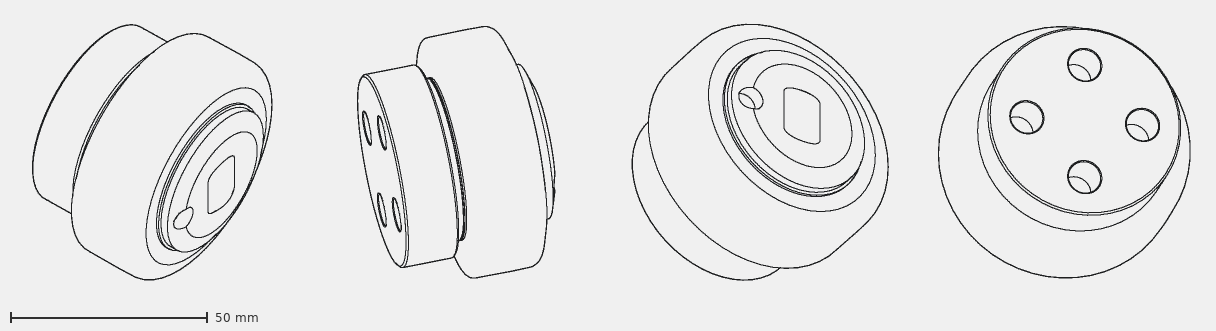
import cadquery as cq
import math

flange_radius = 25.0
flange_thickness = 13.8
flange_chamfer = 0.5

neck_radius = 21.05
neck_end = 16.0
groove_radius = 20.75
groove_width = 0.4

roller_radius = 31.25
tread_sag = 0.095
roller_start = 16.8
roller_width = 20.0
roller_edge_fillet = 1.5
crown_radius = 3.0
crown_start = 32.5
bevel_angle = math.radians(20)

collar_radius = 20.75
collar_width = 0.7
cap_groove_radius = 19.0
cap_groove_width = 0.2
cap_radius = 20.0
cap_bevel_start = 39.75
cap_face = 41.6
cap_face_radius = 15.0

total_length = 43.05
side_roller_radius = 11.0
side_roller_width = 16.0
side_roller_fillet = 2.5

hole_count = 4
hole_circle_radius = 15.0
hole_diameter = 8.4
hole_depth = 12.5
hole_chamfer = 0.25
drill_tip_angle = math.radians(118)

cap_hole_diameter = 6.5
cap_hole_depth = 3.75


def make_turned_body():
    """Revolve the stepped half outline about the X axis."""
    roller_end = roller_start + roller_width
    collar_end = roller_end + collar_width
    cap_start = collar_end + cap_groove_width
    tread_edge_radius = roller_radius - tread_sag
    tread_start = roller_start + roller_edge_fillet
    tread_middle = (tread_start + crown_start) / 2
    crown_center_r = tread_edge_radius - crown_radius
    half_sweep = (math.pi / 2 - bevel_angle) / 2
    crown_mid = (
        crown_start + crown_radius * math.sin(half_sweep),
        crown_center_r + crown_radius * math.cos(half_sweep),
    )
    crown_end = (
        crown_start + crown_radius * math.cos(bevel_angle),
        crown_center_r + crown_radius * math.sin(bevel_angle),
    )
    bevel_end_radius = crown_end[1] - (roller_end - crown_end[0]) / math.tan(bevel_angle)
    groove_end = neck_end + groove_width
    fillet_offset = roller_edge_fillet * (1 - math.sqrt(0.5))

    outline = (
        cq.Workplane("XY")
        .moveTo(0, 0)
        .lineTo(0, flange_radius - flange_chamfer)
        .lineTo(flange_chamfer, flange_radius)
        .lineTo(flange_thickness - flange_chamfer, flange_radius)
        .lineTo(flange_thickness, flange_radius - flange_chamfer)
        .lineTo(flange_thickness, neck_radius)
        .lineTo(neck_end, neck_radius)
        .lineTo(neck_end, groove_radius)
        .lineTo(groove_end, groove_radius)
        .lineTo(groove_end, neck_radius)
        .lineTo(roller_start, neck_radius)
        .lineTo(roller_start, tread_edge_radius - roller_edge_fillet)
        .threePointArc(
            (roller_start + fillet_offset, tread_edge_radius - fillet_offset),
            (tread_start, tread_edge_radius),
        )
        .threePointArc((tread_middle, roller_radius), (crown_start, tread_edge_radius))
        .threePointArc(crown_mid, crown_end)
        .lineTo(roller_end, bevel_end_radius)
        .lineTo(roller_end, collar_radius)
        .lineTo(collar_end, collar_radius)
        .lineTo(collar_end, cap_groove_radius)
        .lineTo(cap_start, cap_groove_radius)
        .lineTo(cap_start, cap_radius)
        .lineTo(cap_bevel_start, cap_radius)
        .lineTo(cap_face, cap_face_radius)
        .lineTo(cap_face, 0)
        .close()
    )
    return outline.revolve(360, (0, 0, 0), (1, 0, 0))


def make_side_roller():
    """Rounded roller along Z, mostly sunk into the body."""
    return (
        cq.Workplane("XY")
        .center(total_length - side_roller_radius, 0)
        .circle(side_roller_radius)
        .extrude(side_roller_width / 2, both=True)
        .faces("|Z")
        .edges()
        .fillet(side_roller_fillet)
    )


def make_mounting_hole():
    """Blind drilled hole along +X with a chamfered mouth and a conical bottom."""
    radius = hole_diameter / 2
    tip_length = radius / math.tan(drill_tip_angle / 2)
    return (
        cq.Workplane("XY")
        .moveTo(0, 0)
        .lineTo(0, radius + hole_chamfer)
        .lineTo(hole_chamfer, radius)
        .lineTo(hole_depth, radius)
        .lineTo(hole_depth + tip_length, 0)
        .close()
        .revolve(360, (0, 0, 0), (1, 0, 0))
    )


def make_cap_hole():
    """Flat-bottomed hole sunk from the cap face; it breaks out through the bevel."""
    return (
        cq.Workplane("YZ", origin=(cap_face - cap_hole_depth, -hole_circle_radius, 0))
        .circle(cap_hole_diameter / 2)
        .extrude(cap_hole_depth)
    )


result = make_turned_body().union(make_side_roller())

mounting_hole = make_mounting_hole().translate((0, hole_circle_radius, 0))
for index in range(hole_count):
    angle = index * 360 / hole_count
    result = result.cut(mounting_hole.rotate((0, 0, 0), (1, 0, 0), angle))

result = result.cut(make_cap_hole())